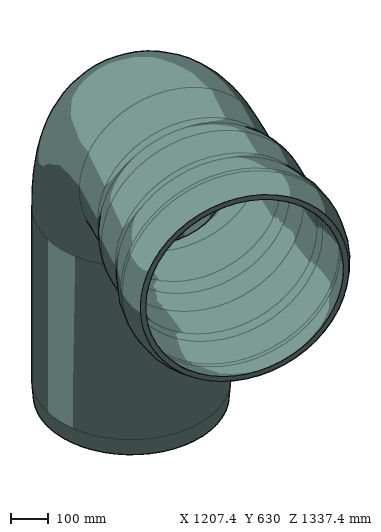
import cadquery as cq
import math

pipe_radius = 530.0 / 2
bore_radius = 500.0 / 2
wall = pipe_radius - bore_radius

leg_length = 632.0
spigot_length = 54.0
spigot_taper = 4.0

bend_angle = 87.0
bend_radius = 365.0

neck_start = 151.0
body_start = 258.0
body_end = 371.0
bead_start = 485.0
bead_end = 498.0
mouth_end = 582.0
body_radius = 292.0
bead_radius = 630.0 / 2
mouth_radius = 293.0
neck_arc_share = 0.4
bead_arc_share = 0.25


def make_leg(radius, end_radius):
    """Upright leg, narrowed to end_radius at its lower face."""
    return (
        cq.Workplane("XZ")
        .moveTo(0, 0)
        .lineTo(end_radius, 0)
        .lineTo(radius, spigot_length)
        .lineTo(radius, leg_length)
        .lineTo(0, leg_length)
        .close()
        .revolve(360, (0, 0, 0), (0, 1, 0))
    )


def make_bend(radius):
    """Circular section swept about the bend centre."""
    return (
        cq.Workplane("XY", origin=(0, 0, leg_length))
        .circle(radius)
        .revolve(bend_angle, (bend_radius, 0, 0), (bend_radius, 1, 0))
    )


def flare(profile, start, end, arc_share):
    """Add two tangent arcs that widen the profile, starting and ending parallel to the axis.

    The first arc takes arc_share of both the length and the rise, which keeps the joint smooth.
    """
    start_radius, start_height = start
    end_radius, end_height = end
    joint = (
        start_radius + arc_share * (end_radius - start_radius),
        start_height + arc_share * (end_height - start_height),
    )
    return profile.tangentArcPoint(joint, relative=False).tangentArcPoint(end, relative=False)


def make_socket(inset):
    """Socket turned about the tilted axis, with every radius reduced by inset."""
    neck = pipe_radius - inset
    body = body_radius - inset
    bead = bead_radius - inset
    mouth = mouth_radius - inset
    profile = cq.Workplane("XZ").moveTo(0, 0).lineTo(neck, 0).lineTo(neck, neck_start)
    profile = flare(profile, (neck, neck_start), (body, body_start), neck_arc_share)
    profile = profile.lineTo(body, body_end)
    profile = flare(profile, (body, body_end), (bead, bead_start), bead_arc_share)
    profile = (
        profile.lineTo(bead, bead_end)
        .tangentArcPoint((mouth, mouth_end), relative=False)
        .lineTo(0, mouth_end)
        .close()
    )
    angle = math.radians(bend_angle)
    bend_end_x = bend_radius * (1 - math.cos(angle))
    bend_end_z = leg_length + bend_radius * math.sin(angle)
    return (
        profile.revolve(360, (0, 0, 0), (0, 1, 0))
        .rotate((0, 0, 0), (0, 1, 0), bend_angle)
        .translate((bend_end_x, 0, bend_end_z))
    )


leg = make_leg(pipe_radius, pipe_radius - spigot_taper).cut(make_leg(bore_radius, bore_radius))
bend = make_bend(pipe_radius).cut(make_bend(bore_radius))
socket = make_socket(0).cut(make_socket(wall))

result = leg.union(bend).union(socket)